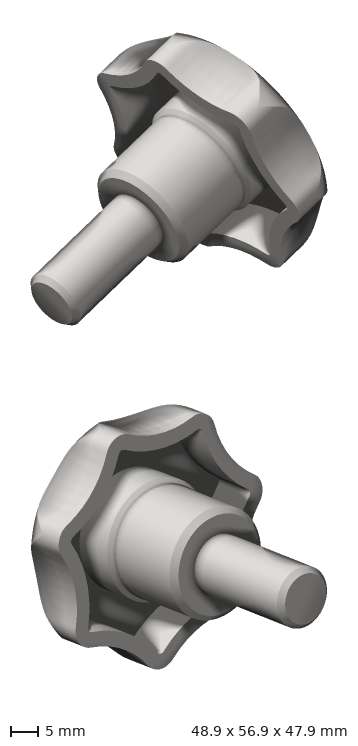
import cadquery as cq
import math


lobe_count = 7
grip_radius = 25.0
grip_height = 14.9
lobe_radius = 4.0
flute_radius = 20.0
dome_radius = 70.0
shoulder_radius = 8.0

wall = 3.0
recess_depth = 9.0

hub_diameter = 24.0
hub_chamfer = 1.0
collar_diameter = 22.0
collar_length = 17.0
collar_chamfer = 1.2
stud_diameter = 12.0
stud_length = 25.0
stud_chamfer = 1.07

half_pitch = math.pi / lobe_count
lobe_center_radius = grip_radius - lobe_radius
center_distance = lobe_radius + flute_radius
flute_center_radius = (
    lobe_center_radius * math.cos(half_pitch)
    + math.sqrt(center_distance**2 - (lobe_center_radius * math.sin(half_pitch)) ** 2)
)
first_lobe_angle = -math.pi / 2


def polar(radius, angle):
    """Point at a radius and angle about the knob axis."""
    return (radius * math.cos(angle), radius * math.sin(angle))


def tangent_point(lobe_angle, flute_angle, inset):
    """Point where the arc of a lobe meets the arc of a neighbouring flute."""
    lobe_x, lobe_z = polar(lobe_center_radius, lobe_angle)
    flute_x, flute_z = polar(flute_center_radius, flute_angle)
    fraction = (lobe_radius - inset) / center_distance
    return (lobe_x + fraction * (flute_x - lobe_x), lobe_z + fraction * (flute_z - lobe_z))


def star_prism(height, inset):
    """Lobed prism from the rim plane towards +Y, its outline moved inwards by the inset."""
    start = tangent_point(first_lobe_angle, first_lobe_angle - half_pitch, inset)
    outline = cq.Workplane("XZ").moveTo(*start)
    for index in range(lobe_count):
        lobe_angle = first_lobe_angle + 2 * half_pitch * index
        flute_angle = lobe_angle + half_pitch
        lobe_tip = polar(grip_radius - inset, lobe_angle)
        lobe_end = tangent_point(lobe_angle, flute_angle, inset)
        flute_bottom = polar(flute_center_radius - flute_radius - inset, flute_angle)
        flute_end = tangent_point(lobe_angle + 2 * half_pitch, flute_angle, inset)
        outline = outline.threePointArc(lobe_tip, lobe_end)
        outline = outline.threePointArc(flute_bottom, flute_end)
    return outline.close().extrude(-height)


def domed_blank():
    """Solid of revolution with a spherical top and a rounded shoulder tangent to it."""
    dome_center_y = grip_height - dome_radius
    shoulder_center_x = grip_radius - shoulder_radius
    center_gap = dome_radius - shoulder_radius
    tilt = math.asin(shoulder_center_x / center_gap)
    shoulder_center_y = dome_center_y + center_gap * math.cos(tilt)

    dome_edge = (dome_radius * math.sin(tilt), dome_center_y + dome_radius * math.cos(tilt))
    dome_middle = (
        dome_radius * math.sin(tilt / 2),
        dome_center_y + dome_radius * math.cos(tilt / 2),
    )
    middle_tilt = (tilt + math.pi / 2) / 2
    shoulder_middle = (
        shoulder_center_x + shoulder_radius * math.sin(middle_tilt),
        shoulder_center_y + shoulder_radius * math.cos(middle_tilt),
    )
    return (
        cq.Workplane("XY")
        .moveTo(0, 0)
        .lineTo(grip_radius, 0)
        .lineTo(grip_radius, shoulder_center_y)
        .threePointArc(shoulder_middle, dome_edge)
        .threePointArc(dome_middle, (0, grip_height))
        .close()
        .revolve(360, (0, 0, 0), (0, 1, 0))
    )


def pin(diameter, start_y, end_y, chamfer):
    """Cylinder on the knob axis running towards -Y, chamfered at its far end."""
    return (
        cq.Workplane("XZ", origin=(0, start_y, 0))
        .circle(diameter / 2)
        .extrude(start_y - end_y)
        .faces("<Y")
        .chamfer(chamfer)
    )


grip = star_prism(grip_height, 0).intersect(domed_blank())
grip = grip.cut(star_prism(recess_depth, wall))

rim_y = 0
collar_end_y = rim_y - collar_length
stud_end_y = collar_end_y - stud_length
hub = pin(hub_diameter, recess_depth, rim_y, hub_chamfer)
collar = pin(collar_diameter, recess_depth, collar_end_y, collar_chamfer)
stud = pin(stud_diameter, collar_end_y, stud_end_y, stud_chamfer)

result = grip.union(hub).union(collar).union(stud)